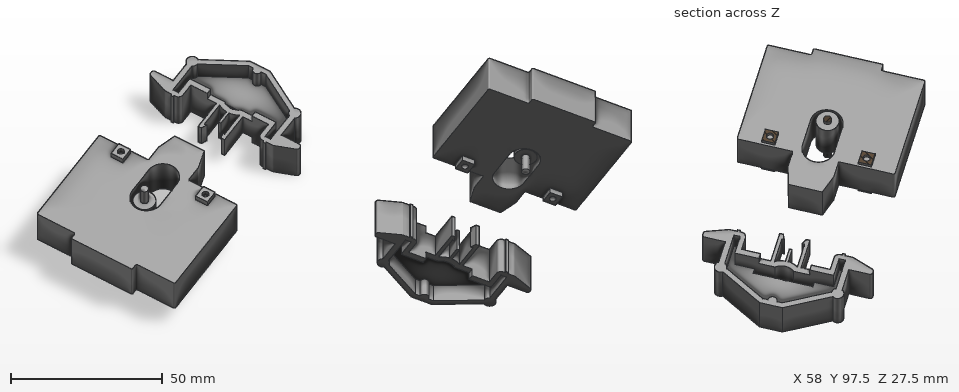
import cadquery as cq
import math

LATCH_HEIGHT = 14.4
LATCH_TOP_Y = 97.5
LATCH_TOP_HALF = 3.9
ROOF_ANGLE = 30.0
WALL = 2.0
ROOF_WALL = 1.9
ROOF_INNER_Y = LATCH_TOP_Y - ROOF_WALL

SIDE_OUTER_X = 21.1
WING_SPAN = 58.0
WING_TIP_X = WING_SPAN / 2
WING_TOP_Y = 77.2
WING_TIP_Y = 75.2
WING_ROOT_X = 21.1
FOOT_BOTTOM_Y = 72.15
WING_TIP_RADIUS = 0.9
WING_ROOT_RADIUS = 1.8
LEG_INNER_X = 15.1
LEG_THICKNESS = 1.8
FOOT_RADIUS = LEG_THICKNESS
CAVITY_BOTTOM_Y = 73.9

CROSSBAR_TOP_Y = 80.7
CROSSBAR_BOTTOM_Y = CROSSBAR_TOP_Y - WALL
CORNER_BEAD_X = 20.0
CORNER_BEAD_Y = 87.3
CORNER_BEAD_RADIUS = 2.0
ROOF_BEAD_RADIUS = 1.6
FOOT_BEAD_X = 17.9
FOOT_BEAD_WIDTH = 1.0
FOOT_BEAD_HEIGHT = 0.6

SAG_CENTRE_Y = 84.4
SAG_INNER_RADIUS = 4.9
SAG_OUTER_RADIUS = SAG_INNER_RADIUS + WALL

WEB_THICKNESS = 1.0
WINDOW_HALF = 10.1
WINDOW_TOP_Y = 82.5

NOTCH_DEPTH = 2.9
NOTCH_HALF = 8.7
CLIP_HEIGHT = LATCH_HEIGHT - 2 * NOTCH_DEPTH

ARM_OUTER_X = 5.2
ARM_INNER_X = 3.9
ARM_END_Y = 67.5
HOOK_TIP_X = 3.0
HOOK_TOP_Y = 69.4
RIB_WIDTH = 1.0
RIB_END_Y = 72.5

BLOCK_BOTTOM_Z = 7.1
BLOCK_THICKNESS = 13.7
BLOCK_MID_Z = BLOCK_BOTTOM_Z + BLOCK_THICKNESS / 2
BLOCK_HALF = 26.9
BLOCK_FRONT_Y = 2.5
BLOCK_BACK_Y = 41.0
STEP_HALF = 11.9
TONGUE_HALF = 7.8
TONGUE_TAPER_Y = 47.2
TONGUE_TIP_HALF = 5.8
TONGUE_TIP_Y = 54.0
BLOCK_RADIUS = 0.6
STEP_RADIUS = 0.4
TONGUE_ROOT_RADIUS = 0.4

SLOT_FRONT_Y = 22.0
SLOT_LENGTH = 21.1
SLOT_WIDTH = 10.9

BOSS_X = 16.5
BOSS_Y = 37.8
BOSS_WIDTH = 4.6
BOSS_LENGTH = 4.8
BOSS_HEIGHT = 2.0
BOSS_HOLE_DIAMETER = 2.2

PIN_Y = 26.3
PIN_TOP_Z = 27.5
PIN_LENGTH = 2 * (PIN_TOP_Z - BLOCK_MID_Z)
SHAFT_RADIUS = 1.4
DOME_HEIGHT = 0.4
DISC_RADIUS = 3.8
DISC_RECESS = 0.2
DISC_THICKNESS = BLOCK_THICKNESS - 2 * DISC_RECESS

EDGE_REACH = 0.1


def mirrored_polygon(half_points):
    """Closed outline from its right-hand half, mirrored across X = 0."""
    left_points = [(-x, y) for x, y in reversed(half_points)]
    return cq.Workplane("XY").polyline(half_points + left_points).close()


def box(x_range, y_range, z_range):
    """Box given by its limits along each axis."""
    (x0, x1), (y0, y1), (z0, z1) = x_range, y_range, z_range
    return cq.Workplane("XY").box(x1 - x0, y1 - y0, z1 - z0, centered=False).translate((x0, y0, z0))


def cylinder(x, y, radius, height):
    """Upright cylinder standing on Z = 0."""
    return cq.Workplane("XY").center(x, y).circle(radius).extrude(height)


def fillet_at(body, x, y, radius):
    """Round the vertical edges at (x, y) and at its mirror point."""
    for side in (-1, 1):
        low_corner = (side * x - EDGE_REACH, y - EDGE_REACH, 0)
        high_corner = (side * x + EDGE_REACH, y + EDGE_REACH, PIN_TOP_Z)
        corner_edge = cq.selectors.BoxSelector(low_corner, high_corner)
        body = body.edges("|Z").edges(corner_edge).fillet(radius)
    return body


def latch_outside():
    """Solid silhouette of the frame with its wings and feet."""
    roof_drop = (SIDE_OUTER_X - LATCH_TOP_HALF) * math.tan(math.radians(ROOF_ANGLE))
    outside = mirrored_polygon([
        (LATCH_TOP_HALF, LATCH_TOP_Y),
        (SIDE_OUTER_X, LATCH_TOP_Y - roof_drop),
        (SIDE_OUTER_X, WING_TOP_Y),
        (WING_TIP_X, WING_TOP_Y),
        (WING_TIP_X, WING_TIP_Y),
        (WING_ROOT_X, FOOT_BOTTOM_Y),
        (LEG_INNER_X, FOOT_BOTTOM_Y),
        (LEG_INNER_X, CROSSBAR_BOTTOM_Y),
    ]).extrude(LATCH_HEIGHT)
    outside = fillet_at(outside, WING_TIP_X, WING_TOP_Y, WING_TIP_RADIUS)
    outside = fillet_at(outside, WING_TIP_X, WING_TIP_Y, WING_TIP_RADIUS)
    outside = fillet_at(outside, WING_ROOT_X, FOOT_BOTTOM_Y, WING_ROOT_RADIUS)
    return fillet_at(outside, LEG_INNER_X, FOOT_BOTTOM_Y, FOOT_RADIUS)


def latch_cavity():
    """Space inside the frame, reaching down between the side walls and the legs."""
    slope = math.radians(ROOF_ANGLE)
    inner_x = SIDE_OUTER_X - WALL
    roof_half = LATCH_TOP_HALF - WALL * math.tan(slope / 2)
    side_top_y = ROOF_INNER_Y - (inner_x - roof_half) * math.tan(slope)
    leg_outer_x = LEG_INNER_X + LEG_THICKNESS
    return mirrored_polygon([
        (roof_half, ROOF_INNER_Y),
        (inner_x, side_top_y),
        (inner_x, CAVITY_BOTTOM_Y),
        (leg_outer_x, CAVITY_BOTTOM_Y),
        (leg_outer_x, CROSSBAR_TOP_Y),
    ]).extrude(LATCH_HEIGHT)


def make_latch():
    full_z = (0, LATCH_HEIGHT)
    clip_z = (NOTCH_DEPTH, LATCH_HEIGHT - NOTCH_DEPTH)
    cavity = latch_cavity()
    latch = latch_outside()

    above_bar = box((-WINDOW_HALF, WINDOW_HALF), (CROSSBAR_TOP_Y, LATCH_TOP_Y), full_z)
    below_bar = box((-WINDOW_HALF, WINDOW_HALF), (ARM_END_Y, CROSSBAR_BOTTOM_Y), full_z)
    sag = cylinder(0, SAG_CENTRE_Y, SAG_OUTER_RADIUS, LATCH_HEIGHT).intersect(below_bar)
    dip = cylinder(0, SAG_CENTRE_Y, SAG_INNER_RADIUS, LATCH_HEIGHT).cut(above_bar)
    latch = latch.union(sag).cut(dip).cut(cavity)

    web_bottom = (LATCH_HEIGHT - WEB_THICKNESS) / 2
    web_z = (web_bottom, web_bottom + WEB_THICKNESS)
    web = cavity.intersect(box((-SIDE_OUTER_X, SIDE_OUTER_X), (FOOT_BOTTOM_Y, LATCH_TOP_Y), web_z))
    web = web.cut(box((-WINDOW_HALF, WINDOW_HALF), (CROSSBAR_TOP_Y, WINDOW_TOP_Y), web_z))
    latch = latch.union(web)

    for notch_z in ((0, NOTCH_DEPTH), (LATCH_HEIGHT - NOTCH_DEPTH, LATCH_HEIGHT)):
        latch = latch.cut(box((-NOTCH_HALF, NOTCH_HALF), (ARM_END_Y, WINDOW_TOP_Y), notch_z))

    latch = latch.union(cylinder(0, ROOF_INNER_Y, ROOF_BEAD_RADIUS, LATCH_HEIGHT))
    for side in (-1, 1):
        latch = latch.union(cylinder(side * CORNER_BEAD_X, CORNER_BEAD_Y, CORNER_BEAD_RADIUS, LATCH_HEIGHT))
        bead_middle = side * FOOT_BEAD_X
        bead_x = (bead_middle - FOOT_BEAD_WIDTH / 2, bead_middle + FOOT_BEAD_WIDTH / 2)
        latch = latch.union(box(bead_x, (FOOT_BOTTOM_Y - FOOT_BEAD_HEIGHT, CAVITY_BOTTOM_Y), full_z))

    arm = (
        cq.Workplane("XY", origin=(0, 0, NOTCH_DEPTH))
        .polyline([
            (ARM_OUTER_X, CROSSBAR_BOTTOM_Y),
            (ARM_OUTER_X, ARM_END_Y),
            (ARM_INNER_X, ARM_END_Y),
            (HOOK_TIP_X, HOOK_TOP_Y),
            (ARM_INNER_X, HOOK_TOP_Y),
            (ARM_INNER_X, CROSSBAR_BOTTOM_Y),
        ])
        .close()
        .extrude(CLIP_HEIGHT)
    )
    rib_top_y = SAG_CENTRE_Y - SAG_INNER_RADIUS - WALL / 2
    rib = box((-RIB_WIDTH / 2, RIB_WIDTH / 2), (RIB_END_Y, rib_top_y), clip_z)
    return latch.union(arm).union(arm.mirror("YZ")).union(rib)


def make_block():
    block = mirrored_polygon([
        (TONGUE_TIP_HALF, TONGUE_TIP_Y),
        (TONGUE_HALF, TONGUE_TAPER_Y),
        (TONGUE_HALF, BLOCK_BACK_Y),
        (BLOCK_HALF, BLOCK_BACK_Y),
        (BLOCK_HALF, BLOCK_FRONT_Y),
        (STEP_HALF, BLOCK_FRONT_Y),
        (STEP_HALF, 0),
    ]).extrude(BLOCK_THICKNESS).translate((0, 0, BLOCK_BOTTOM_Z))
    block = fillet_at(block, BLOCK_HALF, BLOCK_BACK_Y, BLOCK_RADIUS)
    block = fillet_at(block, BLOCK_HALF, BLOCK_FRONT_Y, BLOCK_RADIUS)
    block = fillet_at(block, STEP_HALF, BLOCK_FRONT_Y, BLOCK_RADIUS)
    block = fillet_at(block, STEP_HALF, 0, STEP_RADIUS)
    block = fillet_at(block, TONGUE_HALF, BLOCK_BACK_Y, TONGUE_ROOT_RADIUS)

    slot_middle = (0, SLOT_FRONT_Y + SLOT_LENGTH / 2, BLOCK_BOTTOM_Z)
    slot = cq.Workplane("XY", origin=slot_middle).slot2D(SLOT_LENGTH, SLOT_WIDTH, 90).extrude(BLOCK_THICKNESS)
    block = block.cut(slot)

    boss = (
        cq.Workplane("XY")
        .rect(BOSS_WIDTH, BOSS_LENGTH)
        .circle(BOSS_HOLE_DIAMETER / 2)
        .extrude(BOSS_HEIGHT)
    )
    for boss_z in (BLOCK_BOTTOM_Z - BOSS_HEIGHT, BLOCK_BOTTOM_Z + BLOCK_THICKNESS):
        for side in (-1, 1):
            block = block.union(boss.translate((side * BOSS_X, BOSS_Y, boss_z)))
    return block


def make_pin():
    half = PIN_LENGTH / 2
    half_disc = DISC_THICKNESS / 2
    dome_radius = (SHAFT_RADIUS**2 + DOME_HEIGHT**2) / (2 * DOME_HEIGHT)
    dome_x = SHAFT_RADIUS / 2
    dome_z = half - dome_radius + math.sqrt(dome_radius**2 - dome_x**2)
    profile = (
        cq.Workplane("XZ")
        .moveTo(0, -half)
        .threePointArc((dome_x, -dome_z), (SHAFT_RADIUS, DOME_HEIGHT - half))
        .lineTo(SHAFT_RADIUS, -half_disc)
        .lineTo(DISC_RADIUS, -half_disc)
        .lineTo(DISC_RADIUS, half_disc)
        .lineTo(SHAFT_RADIUS, half_disc)
        .lineTo(SHAFT_RADIUS, half - DOME_HEIGHT)
        .threePointArc((dome_x, dome_z), (0, half))
        .close()
    )
    return profile.revolve(360, (0, 0), (0, 1)).translate((0, PIN_Y, BLOCK_MID_Z))


latch = make_latch()
block = make_block()
pin = make_pin()
result = cq.Compound.makeCompound([latch.val(), block.val(), pin.val()])